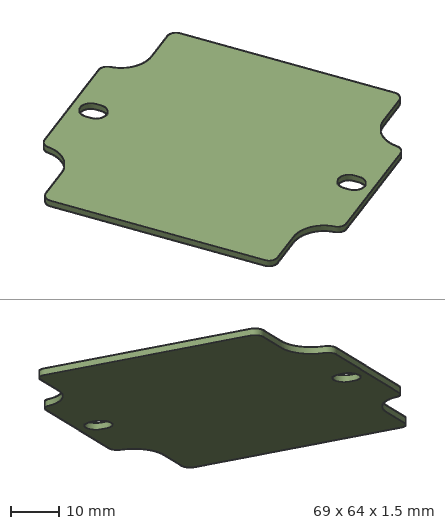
import cadquery as cq

length_x = 69.0
width_y = 64.0
thickness = 1.5
corner_radius = 2.0

neck_width = 53.0
relief_radius = 7.0
relief_center_x = neck_width / 2 + relief_radius
relief_center_y = 22.3

slot_length = 6.0
slot_width = 4.8
slot_spacing = 59.0


def corner_relief(side_x, side_y):
    """Cutter for one corner: a round end opened out to both plate edges."""
    round_end = cq.Workplane("XY").center(side_x * relief_center_x, side_y * relief_center_y)
    cutter = round_end.circle(relief_radius).extrude(thickness)
    opening = round_end.rect(2 * relief_radius, 2 * relief_radius).extrude(thickness)
    opening = opening.translate((0, side_y * relief_radius, 0))
    return cutter.union(opening)


def plate_blank():
    """Rectangular plate with a relief at every corner and rounded outer corners."""
    plate = cq.Workplane("XY").rect(length_x, width_y).extrude(thickness)
    for side_x in (-1, 1):
        for side_y in (-1, 1):
            plate = plate.cut(corner_relief(side_x, side_y))
    end_corners = plate.faces("<Y or >Y").edges("|Z")
    plate = end_corners.fillet(corner_radius)
    side_corners = plate.faces("<X or >X").edges("|Z")
    return side_corners.fillet(corner_radius)


def mounting_slots():
    """Cutter for the two slots on the X axis."""
    centers = [(-slot_spacing / 2, 0), (slot_spacing / 2, 0)]
    return cq.Workplane("XY").pushPoints(centers).slot2D(slot_length, slot_width).extrude(thickness)


result = plate_blank().cut(mounting_slots())